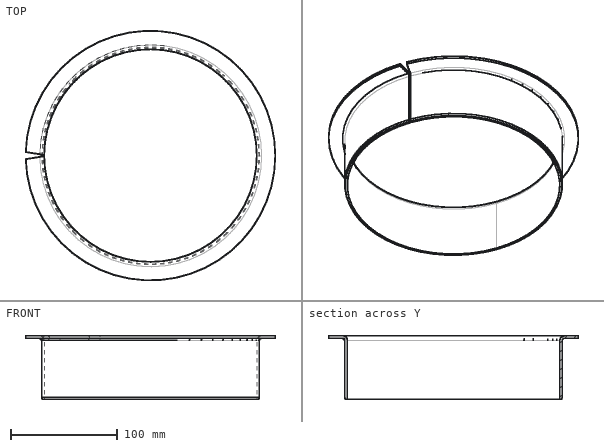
import cadquery as cq
import math

flange_radius = 117.5
height = 60.0
sheet_thickness = 2.5
barrel_radius = 102.5
outer_bend_radius = 1.9
chamfer_height = 1.9
chamfer_width = 0.7
gap_mouth_width = 6.5
gap_apex_radius = 97.3

bore_radius = barrel_radius - sheet_thickness
inner_bend_radius = outer_bend_radius + sheet_thickness
flange_bottom = height - sheet_thickness
bend_center_r = barrel_radius + outer_bend_radius
bend_center_z = height - inner_bend_radius
bend_diagonal = math.sqrt(0.5)


def bend_midpoint(radius):
    """Middle of a quarter bend between the barrel and the flange."""
    offset = radius * bend_diagonal
    return (bend_center_r - offset, bend_center_z + offset)


def make_flanged_ring():
    """Revolve the wall, bend and flange section about Z."""
    section = (
        cq.Workplane("XZ")
        .moveTo(bore_radius, 0)
        .lineTo(barrel_radius - chamfer_width, 0)
        .lineTo(barrel_radius, chamfer_height)
        .lineTo(barrel_radius, bend_center_z)
        .threePointArc(bend_midpoint(outer_bend_radius), (bend_center_r, flange_bottom))
        .lineTo(flange_radius, flange_bottom)
        .lineTo(flange_radius, height)
        .lineTo(bend_center_r, height)
        .threePointArc(bend_midpoint(inner_bend_radius), (bore_radius, bend_center_z))
        .close()
    )
    return section.revolve(360, (0, 0, 0), (0, 1, 0))


def make_split_wedge():
    """Wedge on the -X side that opens the ring through its full height."""
    reach = 1.1
    length = (flange_radius - gap_apex_radius) * reach
    half_width = gap_mouth_width / 2 * reach
    wedge_end = -gap_apex_radius - length
    corners = [(-gap_apex_radius, 0), (wedge_end, half_width), (wedge_end, -half_width)]
    return cq.Workplane("XY").polyline(corners).close().extrude(height)


result = make_flanged_ring().cut(make_split_wedge())